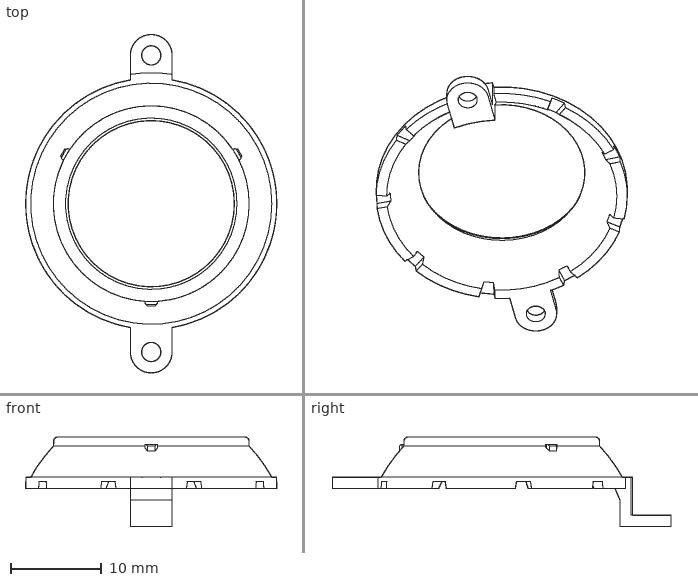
import cadquery as cq
import math

length_y = 37.37
top_z = 5.7
foot_z = -4.2
flange_radius = 13.85
plate_thickness = 1.27

dome_foot_radius = 13.3
dome_mid_radius = 12.22
dome_mid_z = 3.0
collar_radius = 10.8
collar_z = 4.7
rim_fillet = 0.5
rim_inner_radius = 9.45
bore_radius = 9.15
bore_z = 4.5
inner_mid_radius = 11.32
inner_mid_z = 2.25
inner_foot_radius = 12.7

tab_width = 4.65
tab_radius = tab_width / 2
tab_hole_diameter = 2.1
tab_hole_y = length_y / 2 - tab_radius
leg_outer_radius = 14.45
leg_inner_radius = 13.23
leg_blend_z = -1.25

notch_pitch = 40
notch_count = 8
notch_height = 0.8
notch_flare = 0.25
notch_inner_radius = 11.6
notch_inner_width = 0.82
notch_outer_radius = 14.0
notch_outer_width = 1.6

pip_count = 3
pip_base_width = 1.35
pip_tip_width = 0.85
pip_root_radius = 10.45
pip_shoulder_radius = 11.0
pip_tip_radius = 11.3
pip_bottom_z = 4.1
pip_height = 0.75
pip_bevel = 0.15


def make_shell():
    """Hollow domed ring with a flange at its foot and a rounded collar on top."""
    arc_inset = rim_fillet * (1 - math.sqrt(0.5))
    profile = (
        cq.Workplane("XZ")
        .moveTo(inner_foot_radius, 0)
        .lineTo(flange_radius, 0)
        .lineTo(flange_radius, plate_thickness)
        .lineTo(dome_foot_radius, plate_thickness)
        .threePointArc((dome_mid_radius, dome_mid_z), (collar_radius, collar_z))
        .lineTo(collar_radius, top_z - rim_fillet)
        .threePointArc(
            (collar_radius - arc_inset, top_z - arc_inset),
            (collar_radius - rim_fillet, top_z),
        )
        .lineTo(rim_inner_radius + rim_fillet, top_z)
        .threePointArc(
            (rim_inner_radius + arc_inset, top_z - arc_inset),
            (rim_inner_radius, top_z - rim_fillet),
        )
        .lineTo(bore_radius, bore_z)
        .threePointArc((inner_mid_radius, inner_mid_z), (inner_foot_radius, 0))
        .close()
    )
    return profile.revolve(360, (0, 0, 0), (0, 1, 0))


def make_tab(inner_radius, side, bottom_z):
    """Round-ended plate reaching from a circular inner edge out along side * Y."""
    hole_y = side * tab_hole_y
    plate = cq.Workplane("XY").box(tab_width, tab_hole_y, plate_thickness, centered=(True, True, False))
    plate = plate.translate((0, hole_y / 2, 0))
    end = cq.Workplane("XY").center(0, hole_y).circle(tab_radius).extrude(plate_thickness)
    hole = cq.Workplane("XY").center(0, hole_y).circle(tab_hole_diameter / 2).extrude(plate_thickness)
    core = cq.Workplane("XY").circle(inner_radius).extrude(plate_thickness)
    return plate.union(end).cut(hole).cut(core).translate((0, 0, bottom_z))


def make_leg():
    """Curved strip that drops from the flange to the lower tab."""
    ring = (
        cq.Workplane("XZ")
        .moveTo(leg_inner_radius, foot_z)
        .lineTo(leg_outer_radius, foot_z)
        .lineTo(leg_outer_radius, plate_thickness)
        .lineTo(dome_foot_radius, plate_thickness)
        .lineTo(inner_foot_radius, 0)
        .lineTo(leg_inner_radius, leg_blend_z)
        .close()
        .revolve(360, (0, 0, 0), (0, 1, 0))
    )
    strip = (
        cq.Workplane("XY", origin=(0, 0, foot_z))
        .box(tab_width, length_y / 2, top_z - foot_z, centered=(True, False, False))
    )
    return ring.intersect(strip)


def notch_outline(top_width):
    """Corners of a notch cross-section, flared towards the underside of the flange."""
    bottom_width = top_width + notch_flare
    return [
        (-bottom_width / 2, 0),
        (bottom_width / 2, 0),
        (top_width / 2, notch_height),
        (-top_width / 2, notch_height),
    ]


def make_notch(angle):
    """Radial cutter that widens outward through the flange; angle is measured from +X."""
    return (
        cq.Workplane("YZ", origin=(notch_inner_radius, 0, 0))
        .polyline(notch_outline(notch_inner_width))
        .close()
        .workplane(offset=notch_outer_radius - notch_inner_radius)
        .polyline(notch_outline(notch_outer_width))
        .close()
        .loft(ruled=True)
        .rotate((0, 0, 0), (0, 0, 1), angle)
    )


def make_pip(angle):
    """Small block with bevelled outer corners and top edge; angle is measured from +X."""
    return (
        cq.Workplane("XY", origin=(0, 0, pip_bottom_z))
        .polyline([
            (pip_root_radius, -pip_base_width / 2),
            (pip_shoulder_radius, -pip_base_width / 2),
            (pip_tip_radius, -pip_tip_width / 2),
            (pip_tip_radius, pip_tip_width / 2),
            (pip_shoulder_radius, pip_base_width / 2),
            (pip_root_radius, pip_base_width / 2),
        ])
        .close()
        .extrude(pip_height)
        .faces(">X")
        .edges(">Z")
        .chamfer(pip_bevel)
        .rotate((0, 0, 0), (0, 0, 1), angle)
    )


result = make_shell()

for index in range(notch_count):
    result = result.cut(make_notch(-90 + notch_pitch * (index - (notch_count - 1) / 2)))

for index in range(pip_count):
    result = result.union(make_pip(-90 + index * 360 / pip_count))

result = result.union(make_tab(dome_foot_radius, -1, 0))
result = result.union(make_leg())
result = result.union(make_tab(leg_inner_radius, 1, foot_z))